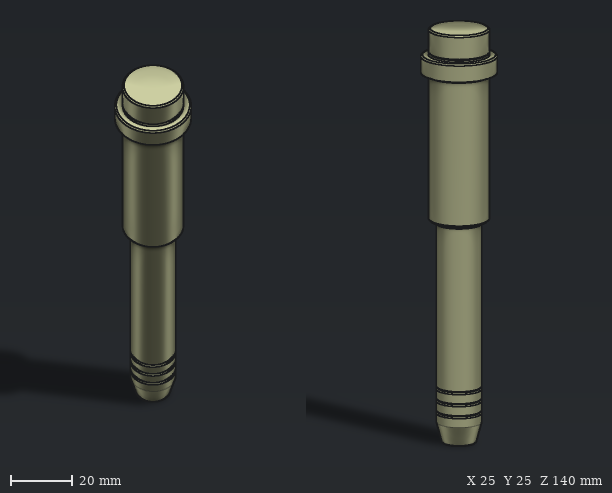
import cadquery as cq
import math

length = 140.0
flange_diameter = 25.0
body_diameter = 20.0
pin_diameter = 15.0

flange_top = length - 9.0
flange_bottom = length - 15.0
body_bottom = length - 65.0
tip_height = 7.0

edge_chamfer = 0.5
body_end_chamfer = 0.7
tip_half_angle = 15.0
tip_chamfer = 0.35

vee_width = 1.0
ring_count = 3
lowest_ring_bottom = 10.0
ring_pitch = 4.0

relief_width = 1.0
relief_depth = 0.4


def cylinder(diameter, bottom, top):
    """Solid cylinder on the Z axis between two heights."""
    return cq.Workplane("XY").workplane(offset=bottom).circle(diameter / 2).extrude(top - bottom)


def vee_groove(diameter, bottom):
    """Ring-shaped cutter for a 45-degree V groove around a shaft."""
    radius = diameter / 2
    return (
        cq.Workplane("XZ")
        .moveTo(radius, bottom)
        .lineTo(radius - vee_width / 2, bottom + vee_width / 2)
        .lineTo(radius, bottom + vee_width)
        .close()
        .revolve(360, (0, 0, 0), (0, 1, 0))
    )


body = cylinder(body_diameter, body_bottom, length)
body = body.faces(">Z").chamfer(edge_chamfer)
body = body.faces("<Z").chamfer(body_end_chamfer)
body = body.cut(vee_groove(body_diameter, flange_top))
body = body.cut(vee_groove(body_diameter, flange_bottom - vee_width))

flange = cylinder(flange_diameter, flange_bottom, flange_top)
flange = flange.faces(">Z").chamfer(edge_chamfer)

relief_bottom = body_bottom - relief_width
pin = cylinder(pin_diameter, tip_height, relief_bottom)
pin = pin.union(cylinder(pin_diameter - 2 * relief_depth, relief_bottom, body_bottom))
for index in range(ring_count):
    ring_bottom = lowest_ring_bottom + index * ring_pitch
    pin = pin.cut(vee_groove(pin_diameter, ring_bottom))

tip_radius = pin_diameter / 2 - tip_height * math.tan(math.radians(tip_half_angle))
tip = (
    cq.Workplane("XY")
    .workplane(offset=tip_height)
    .circle(pin_diameter / 2)
    .workplane(offset=-tip_height)
    .circle(tip_radius)
    .loft()
    .faces("<Z")
    .chamfer(tip_chamfer)
)

result = body.union(flange).union(pin).union(tip)